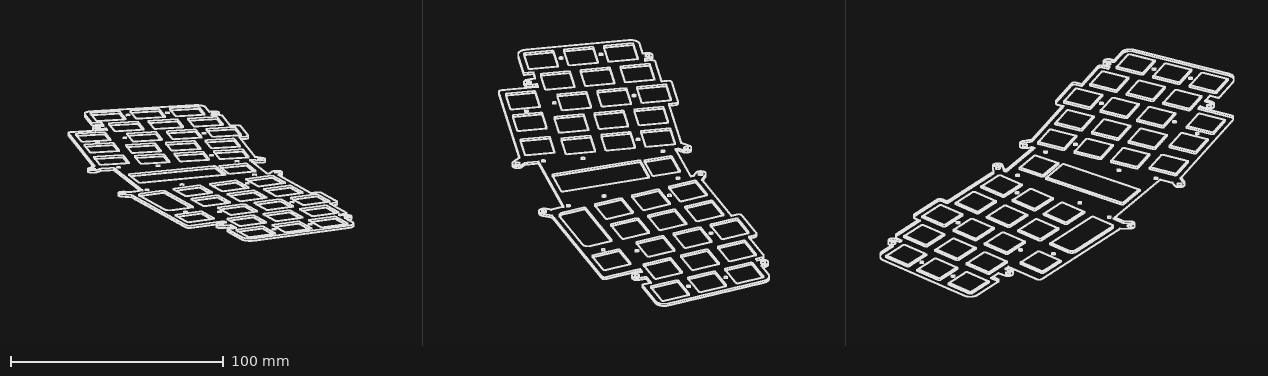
import cadquery as cq


thickness = 1.2
tilt = 7.0
column_count = 5
column_span = 76.2
pitch = column_span / (column_count - 1)
switch_opening = 14.1
opening_radius = 0.7
rim = 0.5
margin = pitch / 2 + rim
corner_radius = 1.6
outer_corner_radius = 4.5
screw_diameter = 1.6
lug_hole_diameter = 2.1
lug_wall = 1.5
lug_radius = lug_hole_diameter / 2 + lug_wall

rows = 3
inner_column = -27.3
home_top = 23.0
stagger = 4.6
column_staggers = [0, 0, stagger, 0, -stagger]
columns = [(inner_column - i * pitch, home_top + s) for i, s in enumerate(column_staggers)]
thumb_row = home_top - rows * pitch
thumb_outer = columns[2][0] - pitch / 4
thumb_shift = pitch / 8
left_thumb_keys = [thumb_outer, thumb_outer + pitch, thumb_outer + 2 * pitch + thumb_shift]

right_thumb_key = thumb_outer + thumb_shift
wide_key = -36.8
wide_opening = 32.0
wide_lower_radius = 2.8

inner_edge = -16.2
thumb_edge = -80.5

panel_top = 31.0
panel_bottom = -33.8
panel_half_top = 14.0
panel_half_bottom = 20.8
small_window = (14.4, 14.0, 27.5)
large_window = (15.8, -31.0, 12.3)
window_radius = 0.7

panel_screws = [(-12.3, 24.8), (-17.1, -13.0), (-20.4, -31.5)]
lugs = [
    (-94.3, 42.0, -90, 2.3),
    (-88.0, -18.0, 90, 5.8),
    (-11.8, 36.1, 220, 5.0),
    (-21.8, -43.8, 125, 5.0),
]


def block(left, right, bottom, top):
    """Rectangular slab of plate thickness standing on Z = 0."""
    slab = cq.Workplane("XY").box(right - left, top - bottom, thickness, centered=False)
    return slab.translate((left, bottom, 0))


def tilted(shape):
    """Lean a shape of the left half into the plate frame."""
    return shape.rotate((0, 0, 0), (0, 0, 1), -tilt)


def mirrored(shape):
    return shape.mirror("YZ")


def key_opening(x, y, width=switch_opening, lower_radius=opening_radius):
    half_height = switch_opening / 2
    opening = block(x - width / 2, x + width / 2, y - half_height, y + half_height)
    opening = opening.edges("|Z and <Y").fillet(lower_radius)
    return opening.edges("|Z and >Y").fillet(opening_radius)


def round_holes(points, diameter):
    return cq.Workplane("XY").pushPoints(points).circle(diameter / 2).extrude(thickness)


def key_field():
    """Solid outline of the left half, stepped to follow the column stagger."""
    middle, second, outer = columns[2:]
    column_height = (rows - 1) * pitch
    field = block(thumb_edge, inner_edge, thumb_row - margin, home_top + margin)
    field = field.edges("|Z and <X and <Y").fillet(corner_radius)
    middle_block = block(middle[0] - margin, middle[0] + margin, thumb_row, middle[1] + margin)
    second_block = block(
        second[0] - margin, middle[0], second[1] - column_height - margin, second[1] + margin
    )
    outer_block = block(
        outer[0] - margin, outer[0] + margin, outer[1] - column_height - margin, outer[1] + margin
    )
    outer_block = outer_block.edges("|Z and <X").fillet(outer_corner_radius)
    field = field.union(middle_block.edges("|Z and >Y").fillet(corner_radius))
    field = field.union(second_block.edges("|Z and >Y and <X").fillet(corner_radius))
    return field.union(outer_block)


def lug(x, y, direction, neck):
    """Round screw lug with a straight neck running into the plate."""
    boss = cq.Workplane("XY").circle(lug_radius).extrude(thickness)
    arm = block(0, neck, -lug_radius, lug_radius)
    return boss.union(arm).rotate((0, 0, 0), (0, 0, 1), direction).translate((x, y, 0))


def half_plate():
    half = tilted(key_field())
    for place in lugs:
        half = half.union(lug(*place))
    return half


def central_panel():
    corners = [
        (-panel_half_bottom, panel_bottom),
        (panel_half_bottom, panel_bottom),
        (panel_half_top, panel_top),
        (-panel_half_top, panel_top),
    ]
    return cq.Workplane("XY").polyline(corners).close().extrude(thickness)


def window(width, bottom, top):
    return block(-width / 2, width / 2, bottom, top).edges("|Z").fillet(window_radius)


def column_openings():
    """Switch openings shared by both halves."""
    openings = cq.Workplane("XY")
    for x, top in columns:
        for row in range(rows):
            openings = openings.add(key_opening(x, top - row * pitch))
    return openings


def grid_screws(thumb_screw):
    """Screw holes midway between keys, plus one beside the thumb keys."""
    middle, outer, inner = columns[2], columns[4], columns[0]
    points = [
        (outer[0], outer[1] - 0.5 * pitch),
        (outer[0], outer[1] - 1.5 * pitch),
        (middle[0], middle[1] - 0.5 * pitch),
        (middle[0], middle[1] - 2.5 * pitch),
        (inner[0], inner[1] - 0.5 * pitch),
        (thumb_screw, thumb_row),
    ]
    return round_holes(points, screw_diameter)


def half_cutters(thumb_keys, thumb_screw):
    cutters = column_openings()
    for x in thumb_keys:
        cutters = cutters.add(key_opening(x, thumb_row))
    return tilted(cutters.combine()).union(tilted(grid_screws(thumb_screw)))


left = half_plate()
body = left.union(mirrored(left)).union(central_panel())

fixings = round_holes(panel_screws, screw_diameter)
fixings = fixings.union(round_holes([place[:2] for place in lugs], lug_hole_diameter))
left_cut = half_cutters(left_thumb_keys, thumb_outer + pitch / 2).union(fixings)
right_cut = half_cutters([right_thumb_key], right_thumb_key + pitch / 2).union(fixings)
right_cut = right_cut.union(tilted(key_opening(wide_key, thumb_row, wide_opening, wide_lower_radius)))

body = body.cut(left_cut).cut(mirrored(right_cut))
result = body.cut(window(*small_window)).cut(window(*large_window))